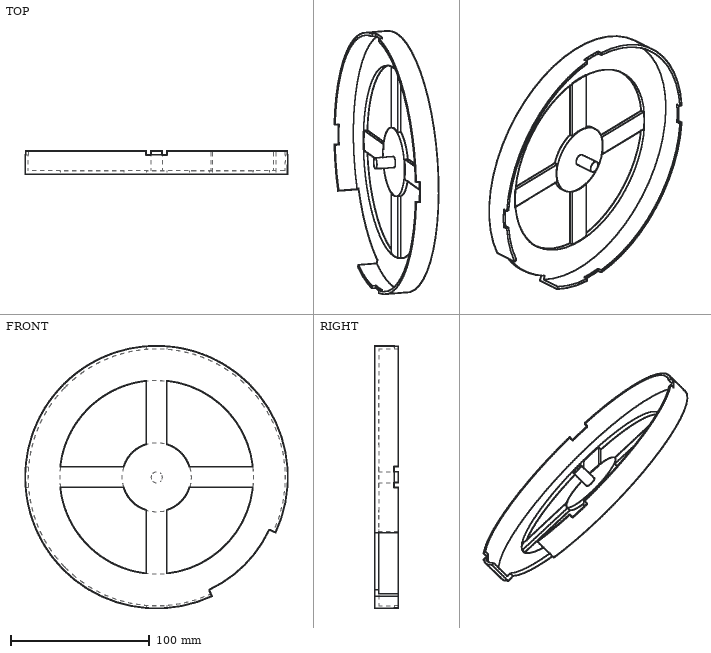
import cadquery as cq
import math

outer_radius = 95.0
rim_thickness = 2.0
wheel_depth = 17.0
plate_thickness = 3.0
window_radius = 70.0
hub_radius = 25.0
spoke_width = 15.0
spoke_thickness = 2.5
pin_radius = 4.0
notch_width = 15.0
notch_depth = 3.0
relief_radius = 90.0
relief_center_angle = -45.0
relief_span = 40.0

rim_inner_radius = outer_radius - rim_thickness


def disc(radius, start, end):
    """Disc about the Y axis, filling Y from start to end."""
    return cq.Workplane("XZ", origin=(0, start, 0)).circle(radius).extrude(start - end)


def polar(radius, angle):
    """X and Z of the point at a radius and an angle in degrees from +X towards +Z."""
    return radius * math.cos(math.radians(angle)), radius * math.sin(math.radians(angle))


def cross(width, start, end):
    """Two perpendicular bars through the axis, as long as the wheel, filling Y from start to end."""
    length = 2 * outer_radius
    depth = end - start
    middle = (start + end) / 2
    bar_along_x = cq.Workplane("XY").box(length, depth, width)
    bar_along_z = cq.Workplane("XY").box(width, depth, length)
    return bar_along_x.union(bar_along_z).translate((0, middle, 0))


def face_plate():
    """Flat ring carrying a round hub on four spokes."""
    windows = disc(window_radius, 0, plate_thickness)
    windows = windows.cut(disc(hub_radius, 0, plate_thickness))
    windows = windows.cut(cross(spoke_width, 0, spoke_thickness))
    return disc(outer_radius, 0, plate_thickness).cut(windows)


def rim():
    """Cylindrical wall with four notches in its open edge, in line with the spokes."""
    wall = disc(outer_radius, 0, wheel_depth).cut(disc(rim_inner_radius, 0, wheel_depth))
    return wall.cut(cross(notch_width, wheel_depth - notch_depth, wheel_depth))


def rim_relief():
    """Sector of the rim zone that is removed over the full depth of the wheel."""
    first_angle = relief_center_angle - relief_span / 2
    last_angle = relief_center_angle + relief_span / 2
    return (
        cq.Workplane("XZ")
        .moveTo(*polar(relief_radius, first_angle))
        .lineTo(*polar(outer_radius, first_angle))
        .threePointArc(polar(outer_radius, relief_center_angle), polar(outer_radius, last_angle))
        .lineTo(*polar(relief_radius, last_angle))
        .threePointArc(
            polar(relief_radius, relief_center_angle),
            polar(relief_radius, first_angle),
        )
        .close()
        .extrude(-wheel_depth)
    )


center_pin = disc(pin_radius, 0, wheel_depth)

result = face_plate().union(rim()).union(center_pin).cut(rim_relief())